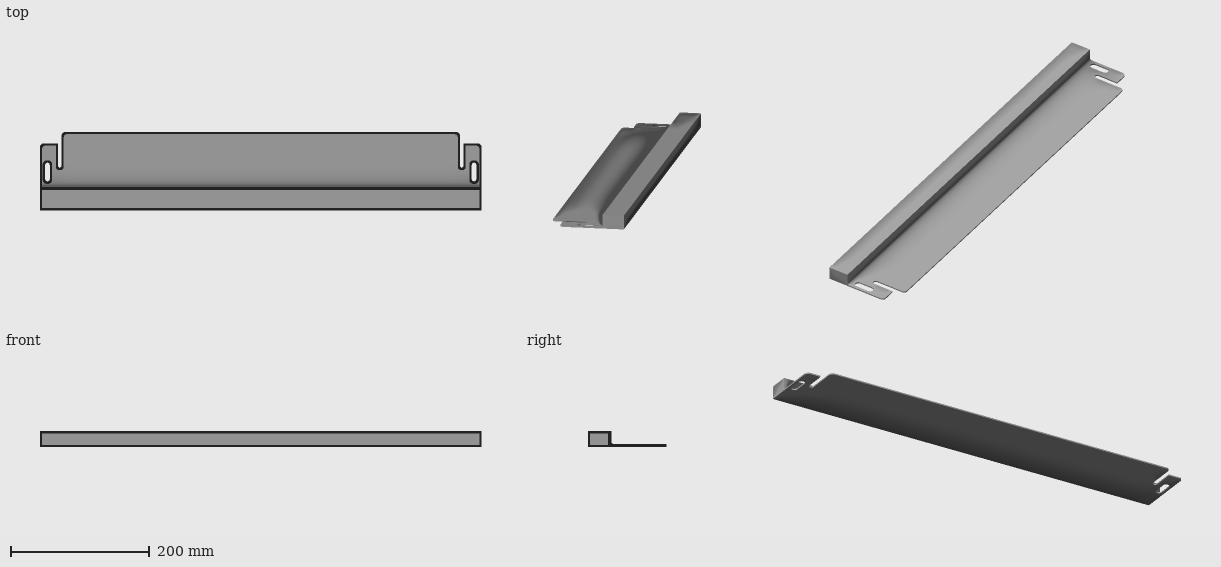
import cadquery as cq

LENGTH = 633.0
DEPTH = 110.0
HEIGHT = 20.0

BAR_DEPTH = 29.0
SHEET = 2.0
INNER_CORNER_RADIUS = 2.5

TAB_REACH = 94.0
TAB_WIDTH = 23.5
TAB_CORNER_RADIUS = 6.0
NOTCH_WIDTH = 7.5
NOTCH_END = 58.0
PANEL_CORNER_RADIUS = 6.0

SLOT_WIDTH = 10.0
SLOT_LENGTH = 30.5
SLOT_EDGE_GAP = 4.5
SLOT_CENTER_Y = 54.0

HALF_LENGTH = LENGTH / 2
NOTCH_CENTER_X = HALF_LENGTH - TAB_WIDTH - NOTCH_WIDTH / 2
SLOT_CENTER_X = HALF_LENGTH - SLOT_EDGE_GAP - SLOT_WIDTH / 2


def make_bar():
    """Solid rectangular bar along the front of the bracket."""
    return cq.Workplane("XY").box(LENGTH, BAR_DEPTH, HEIGHT, centered=(True, False, False))


def make_angle():
    """L-section sheet with a rounded inner corner; its upright lies against the bar."""
    angle = (
        cq.Workplane("YZ", origin=(-HALF_LENGTH, 0, 0))
        .moveTo(BAR_DEPTH, HEIGHT)
        .lineTo(BAR_DEPTH, 0)
        .lineTo(DEPTH, 0)
        .lineTo(DEPTH, SHEET)
        .lineTo(BAR_DEPTH + SHEET, SHEET)
        .lineTo(BAR_DEPTH + SHEET, HEIGHT)
        .close()
        .extrude(LENGTH)
    )
    inner_corner = cq.NearestToPointSelector((0, BAR_DEPTH + SHEET, SHEET))
    return angle.edges(inner_corner).fillet(INNER_CORNER_RADIUS)


def make_end_cut(side):
    """Material removed behind one end tab, with its round-ended notch."""
    notch_x = side * NOTCH_CENTER_X
    notch_end_y = NOTCH_END + NOTCH_WIDTH / 2
    notch = (
        cq.Workplane("XY")
        .center(notch_x, (notch_end_y + DEPTH) / 2)
        .rect(NOTCH_WIDTH, DEPTH - notch_end_y)
        .extrude(SHEET)
    )
    round_end = cq.Workplane("XY").center(notch_x, notch_end_y).circle(NOTCH_WIDTH / 2).extrude(SHEET)
    above_tab = (
        cq.Workplane("XY")
        .center(side * (HALF_LENGTH - TAB_WIDTH / 2), (TAB_REACH + DEPTH) / 2)
        .rect(TAB_WIDTH, DEPTH - TAB_REACH)
        .extrude(SHEET)
    )
    return notch.union(round_end).union(above_tab)


def make_slot(side):
    """Round-ended slot through one tab."""
    return (
        cq.Workplane("XY")
        .center(side * SLOT_CENTER_X, SLOT_CENTER_Y)
        .slot2D(SLOT_LENGTH, SLOT_WIDTH, 90)
        .extrude(SHEET)
    )


def make_bracket():
    """Folded sheet with a wide rear panel and a slotted tab at each end."""
    bracket = make_angle()
    for side in (-1, 1):
        bracket = bracket.cut(make_end_cut(side)).cut(make_slot(side))
    for side in (-1, 1):
        tab_corner = cq.NearestToPointSelector((side * HALF_LENGTH, TAB_REACH, SHEET / 2))
        bracket = bracket.edges(tab_corner).fillet(TAB_CORNER_RADIUS)
    return bracket.edges("|Z and >Y").fillet(PANEL_CORNER_RADIUS)


bar = make_bar()
bracket = make_bracket()

result = cq.Compound.makeCompound([bar.val(), bracket.val()])